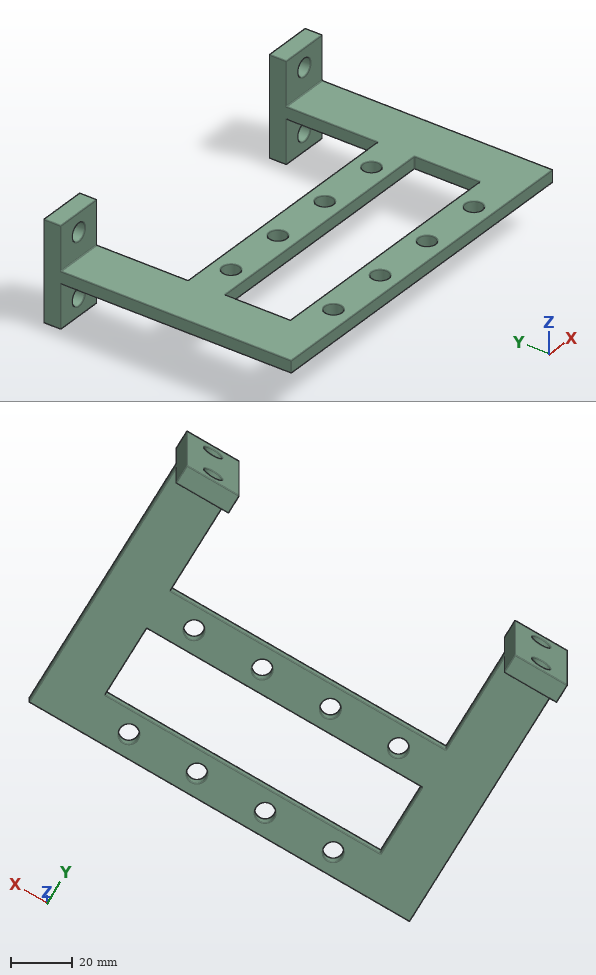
import cadquery as cq

width = 145.0
depth = 100.0
flange_height = 40.0
arm_width = 20.0
plate_thickness = 5.0
flange_thickness = 7.0

bar_depth = 15.0
window_depth = 26.4
opening_width = width - 2 * arm_width

bar_hole_diameter = 6.8
bar_hole_pitch = 26.0
bar_hole_count = 4
flange_hole_diameter = 7.0
flange_hole_pitch = 25.0

edge_radius = 0.2

front_y = -depth / 2
back_y = depth / 2
bar_pitch = bar_depth + window_depth
rear_bar_back_y = front_y + bar_pitch + bar_depth
arm_center_x = (width - arm_width) / 2


def block(x_size, y_start, y_end, z_size, x_center=0.0):
    """Box from y_start to y_end, centred on x_center and on Z = 0."""
    y_center = (y_start + y_end) / 2
    return cq.Workplane("XY", origin=(x_center, y_center, 0)).box(x_size, y_end - y_start, z_size)


def frame():
    """Flat plate with the window and the open gap between the arms removed."""
    plate = block(width, front_y, back_y, plate_thickness)
    window_start = front_y + bar_depth
    window = block(opening_width, window_start, window_start + window_depth, plate_thickness)
    gap = block(opening_width, rear_bar_back_y, back_y, plate_thickness)
    return plate.cut(window).cut(gap)


def flange(x_center):
    """Upright mounting flange across the end of one arm."""
    return block(arm_width, back_y - flange_thickness, back_y, flange_height, x_center)


def bar_holes():
    """One row of vertical through holes along the middle of each cross bar."""
    row_center_y = front_y + bar_depth / 2 + bar_pitch / 2
    return (
        cq.Workplane("XY", origin=(0, row_center_y, -plate_thickness / 2))
        .rarray(bar_hole_pitch, bar_pitch, bar_hole_count, 2)
        .circle(bar_hole_diameter / 2)
        .extrude(plate_thickness)
    )


def flange_holes():
    """Holes through both flanges, above and below the plate."""
    return (
        cq.Workplane("XZ", origin=(0, back_y, 0))
        .rarray(2 * arm_center_x, flange_hole_pitch, 2, 2)
        .circle(flange_hole_diameter / 2)
        .extrude(flange_thickness)
    )


body = frame()
for side in (-1, 1):
    body = body.union(flange(side * arm_center_x))

drilled = body.cut(bar_holes()).cut(flange_holes())
result = drilled.edges().fillet(edge_radius)